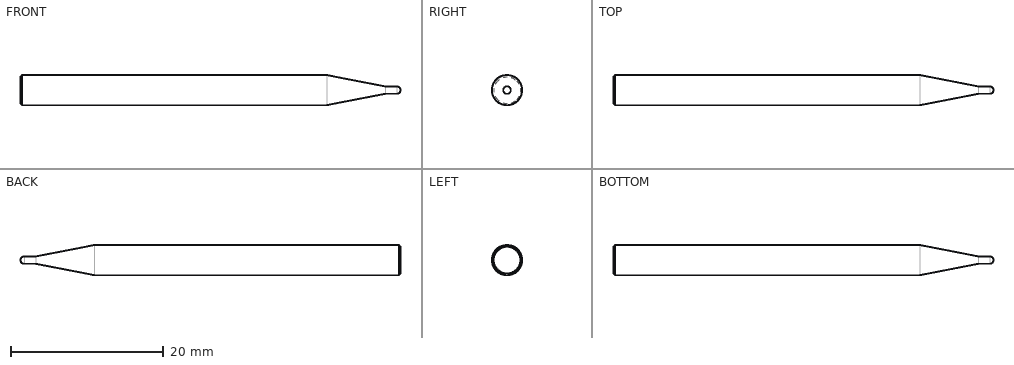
import cadquery as cq
import math

total_length = 50.0
shank_radius = 2.0

back_chamfer = 0.25

taper_start = 40.3
taper_end = 48.0

neck_radius = 0.5
nose_center = total_length - neck_radius
nose_offset = neck_radius * math.sqrt(0.5)
nose_middle = (nose_center + nose_offset, nose_offset)
tip = (total_length, 0)

half_profile = (
    cq.Workplane("XY")
    .moveTo(0, 0)
    .lineTo(0, shank_radius - back_chamfer)
    .lineTo(back_chamfer, shank_radius)
    .lineTo(taper_start, shank_radius)
    .lineTo(taper_end, neck_radius)
    .lineTo(nose_center, neck_radius)
    .threePointArc(nose_middle, tip)
    .close()
)

result = half_profile.revolve(360, (0, 0, 0), (1, 0, 0))